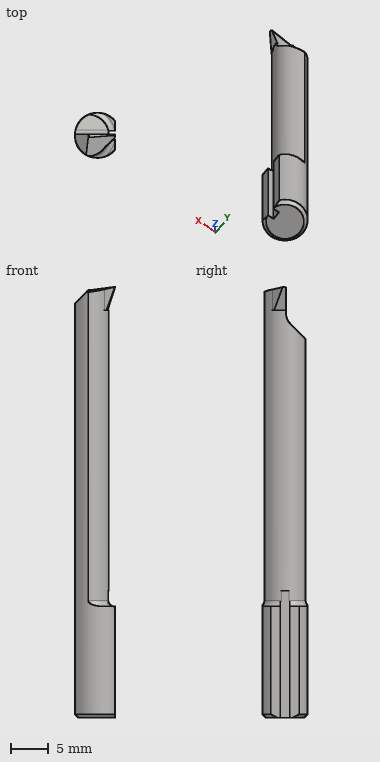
import cadquery as cq
import math


total_length = 57.0
shank_radius = 3.0
flat_x = 2.35
end_chamfer = 0.5

neck_axis_x = -1.23
neck_radius = math.sqrt(shank_radius**2 - neck_axis_x**2)
neck_end_x = neck_axis_x + neck_radius
ledge_z = 14.75
ledge_fillet = 0.8

groove_width = 1.2
groove_depth_in_neck = 0.05
groove_top_z = 16.8

tip_y = 0.0
head_base_z = 53.9
facet_x = 0.9
facet_y = -math.sqrt(neck_radius**2 - (facet_x - neck_axis_x)**2)
side_relief = 18.0
side_clearance = 6.0
end_fall = 7.0
end_clearance = 6.0
bevel_start_z = 54.75

rake_y = 0.15
runout_z = 52.65
runout_radius = 2.0

land_slope = 45.0
land_skew = 5.0
land_end_x = -1.1

margin = 10.0


def make_shank():
    """Round bar over the full length, with the bottom rim chamfered."""
    bar = cq.Workplane("XY").circle(shank_radius).extrude(total_length)
    return bar.faces("<Z").chamfer(end_chamfer)


def make_neck_envelope():
    """Wide below the ledge, neck radius above it, with a concave fillet between."""
    wide_radius = neck_radius + margin
    fillet_mid = ledge_fillet * (1 - math.sqrt(0.5))
    return (
        cq.Workplane("XZ", origin=(neck_axis_x, 0, 0))
        .lineTo(wide_radius, 0)
        .lineTo(wide_radius, ledge_z)
        .lineTo(neck_radius + ledge_fillet, ledge_z)
        .threePointArc(
            (neck_radius + fillet_mid, ledge_z + fillet_mid),
            (neck_radius, ledge_z + ledge_fillet),
        )
        .lineTo(neck_radius, total_length)
        .lineTo(0, total_length)
        .close()
        .revolve(360, (0, 0, 0), (0, 1, 0))
    )


def make_flat_cutter():
    """Material beyond the shank flat."""
    return (
        cq.Workplane("XY")
        .box(margin, margin, total_length, centered=(False, True, False))
        .translate((flat_x, 0, 0))
    )


def make_groove_cutter():
    """Coolant groove, open at the bottom and running out in the neck wall."""
    return (
        cq.Workplane("XY")
        .box(margin, groove_width, groove_top_z, centered=(False, True, False))
        .translate((neck_end_x - groove_depth_in_neck, 0, 0))
    )


def make_tip_block():
    """Block carrying the tip beyond the neck, with a vertical 45 degree facet."""
    return (
        cq.Workplane("XY", origin=(0, 0, head_base_z))
        .moveTo(facet_x, facet_y)
        .lineTo(flat_x, facet_y + flat_x - facet_x)
        .lineTo(flat_x, rake_y)
        .lineTo(facet_x, rake_y)
        .close()
        .extrude(total_length - head_base_z)
    )


def make_side_cutter():
    """Relieves the +X side of the head downward and backward from the tip."""
    limit = (
        cq.Workplane("XY")
        .box(2 * margin, 2 * margin, margin, centered=(True, True, False))
        .translate((0, 0, head_base_z))
    )
    return (
        cq.Workplane("XY")
        .box(margin, 2 * margin, 2 * margin, centered=(False, True, True))
        .rotate((0, 0, 0), (0, 1, 0), side_relief)
        .rotate((0, 0, 0), (0, 0, 1), -side_clearance)
        .translate((flat_x, tip_y, total_length))
        .intersect(limit)
    )


def make_end_cutter():
    """Slopes the end face away from the tip toward -X and -Y."""
    return (
        cq.Workplane("XY")
        .box(2 * margin, 2 * margin, margin, centered=(True, True, False))
        .rotate((0, 0, 0), (0, 1, 0), -end_fall)
        .rotate((0, 0, 0), (1, 0, 0), end_clearance)
        .translate((flat_x, tip_y, total_length))
    )


def make_bevel_cutter():
    """45 degree bevel across the -X side of the end."""
    return (
        cq.Workplane("XZ")
        .moveTo(-shank_radius - margin, bevel_start_z - margin)
        .lineTo(-shank_radius + margin, bevel_start_z + margin)
        .lineTo(-shank_radius - margin, bevel_start_z + margin)
        .close()
        .extrude(margin, both=True)
    )


def make_rake_cutter():
    """Clears everything above the rake face and its run-out."""
    return (
        cq.Workplane("YZ")
        .moveTo(rake_y, total_length + margin)
        .lineTo(rake_y, runout_z)
        .lineTo(rake_y + margin, runout_z - margin)
        .lineTo(rake_y + margin, total_length + margin)
        .close()
        .extrude(margin, both=True)
        .edges(cq.selectors.NearestToPointSelector((0, rake_y, runout_z)))
        .fillet(runout_radius)
    )


def make_land_cutter():
    """Slopes the top of the rake face down toward +Y, starting at the cutting edge."""
    limit = (
        cq.Workplane("XY")
        .box(margin, margin, margin, centered=(False, True, True))
        .translate((land_end_x, tip_y, total_length))
    )
    return (
        cq.Workplane("XY")
        .box(2 * margin, 2 * margin, margin, centered=(True, True, False))
        .rotate((0, 0, 0), (1, 0, 0), -land_slope)
        .rotate((0, 0, 0), (0, 1, 0), -end_fall)
        .rotate((0, 0, 0), (0, 0, 1), land_skew)
        .translate((flat_x, tip_y, total_length))
        .intersect(limit)
    )


result = make_shank().cut(make_flat_cutter()).intersect(make_neck_envelope())
result = result.cut(make_groove_cutter())
result = result.union(make_tip_block())
head_cutters = (
    make_side_cutter(),
    make_end_cutter(),
    make_bevel_cutter(),
    make_rake_cutter(),
    make_land_cutter(),
)
for cutter in head_cutters:
    result = result.cut(cutter)